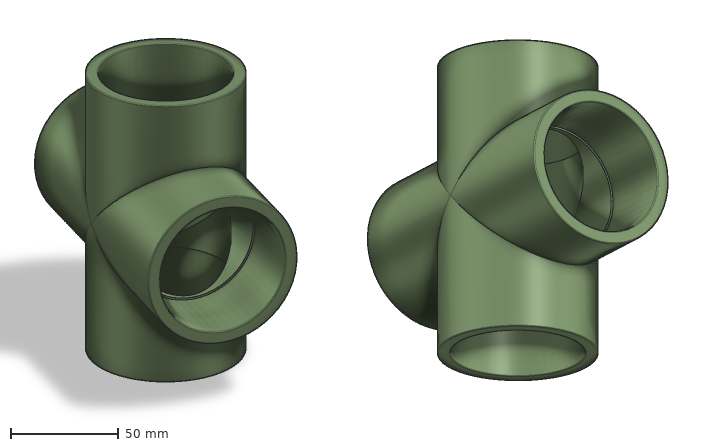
import cadquery as cq

overall_length = 142.0
outer_diameter = 75.0
socket_diameter = 63.0
bore_diameter = 61.0
socket_depth = 38.0
rim_radius = 0.5

half_length = overall_length / 2


def centred_cylinder(diameter, length):
    """Cylinder along Z, centred on the origin."""
    return cq.Workplane("XY").cylinder(length, diameter / 2)


def socket(side):
    """Space for one pipe end on the Z axis; side is +1 (upper) or -1 (lower)."""
    mid_height = side * (half_length - socket_depth / 2)
    return centred_cylinder(socket_diameter, socket_depth).translate((0, 0, mid_height))


def run_passage():
    """Bore through the run along Z, leaving a pipe stop at the foot of each socket."""
    bore = centred_cylinder(bore_diameter, overall_length)
    return bore.union(socket(+1)).union(socket(-1))


def along_x(run):
    """Swing a run from the Z axis onto the X axis."""
    return run.rotate((0, 0, 0), (0, 1, 0), 90)


outer_run = centred_cylinder(outer_diameter, overall_length)
cross = outer_run.union(along_x(outer_run))

passage = run_passage()
cross = cross.cut(passage).cut(along_x(passage))

result = cross.faces("<X or >X or <Z or >Z").edges().fillet(rim_radius)